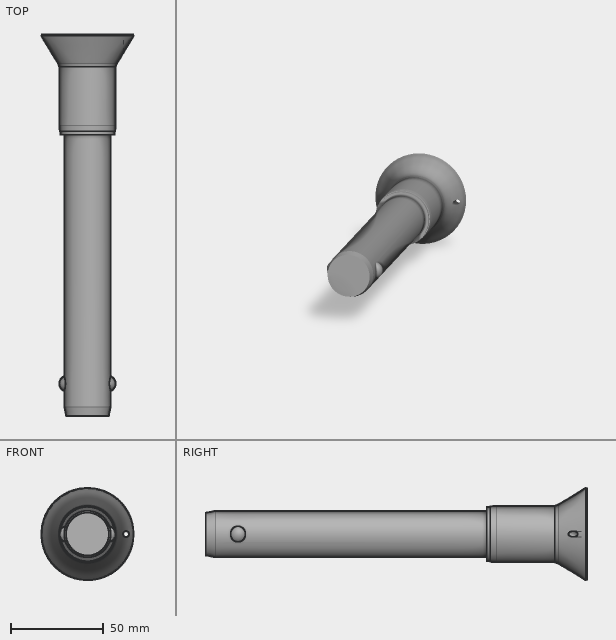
import cadquery as cq

LENGTH = 206.8
TIP_Y = -LENGTH / 2
HEAD_Y = LENGTH / 2

SHAFT_RADIUS = 12.6
TIP_RADIUS = 11.5
TIP_TAPER_LENGTH = 5.2

SLEEVE_RADIUS = 15.3
SLEEVE_END_RADIUS = 15.0
COLLAR_RADIUS = 14.7
COLLAR_END_FROM_HEAD = 54.5
COLLAR_LENGTH = 2.0
SLEEVE_TAPER_LENGTH = 3.0

HEAD_RADIUS = 25.0
RIM_THICKNESS = 1.0
RIM_BEVEL = 0.5
FLARE_END_FROM_HEAD = 16.0
FLARE_END_RADIUS = 16.0
NECK_LENGTH = 1.9

HOLE_DIAMETER = 3.0
HOLE_OFFSET = 20.9

BALL_RADIUS = 4.3
BALL_REACH = 15.3
BALL_FROM_TIP = 17.5


def make_body():
    """Revolve the half outline of shaft, sleeve and head about the Y axis."""
    collar_end_y = HEAD_Y - COLLAR_END_FROM_HEAD
    sleeve_end_y = collar_end_y + COLLAR_LENGTH
    flare_end_y = HEAD_Y - FLARE_END_FROM_HEAD
    outline = (
        cq.Workplane("XY")
        .moveTo(0, TIP_Y)
        .lineTo(TIP_RADIUS, TIP_Y)
        .lineTo(SHAFT_RADIUS, TIP_Y + TIP_TAPER_LENGTH)
        .lineTo(SHAFT_RADIUS, collar_end_y)
        .lineTo(COLLAR_RADIUS, collar_end_y)
        .lineTo(COLLAR_RADIUS, sleeve_end_y)
        .lineTo(SLEEVE_END_RADIUS, sleeve_end_y)
        .lineTo(SLEEVE_RADIUS, sleeve_end_y + SLEEVE_TAPER_LENGTH)
        .lineTo(SLEEVE_RADIUS, flare_end_y - NECK_LENGTH)
        .lineTo(FLARE_END_RADIUS, flare_end_y)
        .lineTo(HEAD_RADIUS, HEAD_Y - RIM_THICKNESS)
        .lineTo(HEAD_RADIUS - RIM_BEVEL, HEAD_Y)
        .lineTo(0, HEAD_Y)
        .close()
    )
    return outline.revolve(360, (0, 0), (0, 1))


def make_ball(side):
    """Make the locking ball on the +X (side = 1) or -X (side = -1) side."""
    center_x = side * (BALL_REACH - BALL_RADIUS)
    return cq.Workplane("XY").sphere(BALL_RADIUS).translate((center_x, TIP_Y + BALL_FROM_TIP, 0))


def make_head_hole():
    """Make the cutter that runs along Y through the whole head flange."""
    start = cq.Vector(HOLE_OFFSET, HEAD_Y, 0)
    along_pin = cq.Vector(0, -1, 0)
    cutter = cq.Solid.makeCylinder(HOLE_DIAMETER / 2, FLARE_END_FROM_HEAD, start, along_pin)
    return cq.Workplane(cutter)


result = make_body().cut(make_head_hole())
for side in (-1, 1):
    result = result.union(make_ball(side))